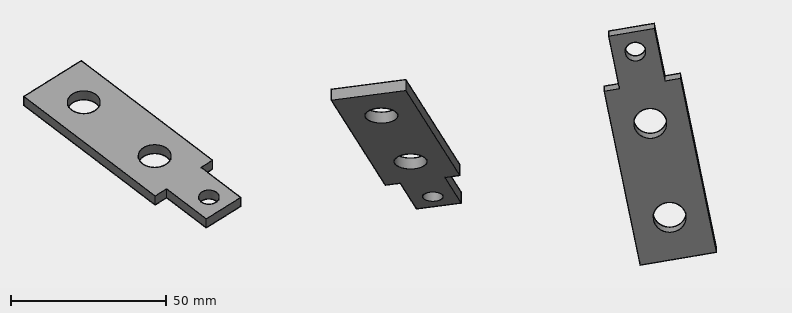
import cadquery as cq

thickness = 4.0
body_length = 63.0
body_width = 25.0

tab_length = 19.0
tab_width = 15.0

large_hole_diameter = 10.6
large_hole_xs = (15.0, 49.0)
small_hole_diameter = 6.6
small_hole_x = 75.0


def block(x_start, length, width):
    """Flat block centred on the X axis, starting at x_start."""
    return (
        cq.Workplane("XY")
        .box(length, width, thickness, centered=(False, True, False))
        .translate((x_start, 0, 0))
    )


def hole_cutter(x, diameter):
    """Cylinder through the full thickness of the plate."""
    return cq.Workplane("XY").center(x, 0).circle(diameter / 2).extrude(thickness)


body = block(0, body_length, body_width)
tab = block(body_length, tab_length, tab_width)
result = body.union(tab)

for hole_x in large_hole_xs:
    result = result.cut(hole_cutter(hole_x, large_hole_diameter))
result = result.cut(hole_cutter(small_hole_x, small_hole_diameter))